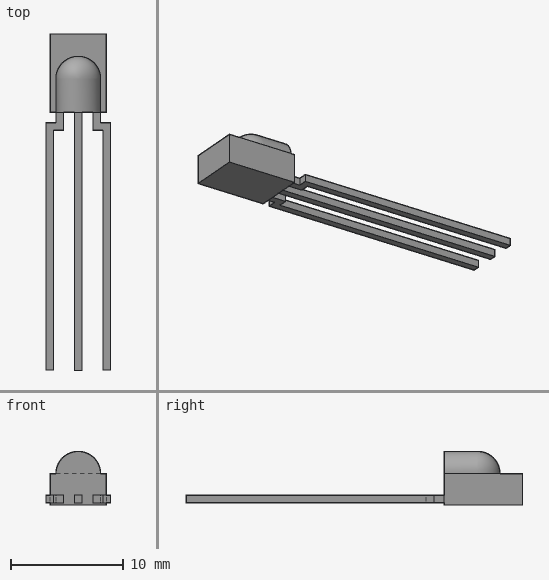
import cadquery as cq

body_width = 5.0
body_length = 7.0
body_height = 2.8

lens_radius = 2.0
lens_straight_length = 3.0

lead_width = 0.7
lead_thickness = 0.7
lead_bottom = 0.2
lead_pitch = 2.54
middle_lead_length = 23.0
outer_lead_length = 22.95
root_offset = 1.65
jog_start = 0.9


def make_body():
    return cq.Workplane("XY").box(
        body_width, body_length, body_height, centered=(True, False, False)
    )


def make_lens():
    """Full round-ended bar along Y, cut off below the top of the body."""
    barrel = (
        cq.Workplane("XZ", origin=(0, 0, body_height))
        .circle(lens_radius)
        .extrude(-lens_straight_length)
    )
    dome = cq.Workplane("XY", origin=(0, lens_straight_length, body_height)).sphere(lens_radius)
    upper_half = cq.Workplane("XY", origin=(0, 0, body_height)).box(
        2 * lens_radius, body_length, lens_radius, centered=(True, False, False)
    )
    return barrel.union(dome).intersect(upper_half)


def make_middle_lead():
    return cq.Workplane("XY", origin=(0, -middle_lead_length / 2, lead_bottom)).box(
        lead_width, middle_lead_length, lead_thickness, centered=(True, True, False)
    )


def make_outer_lead(side):
    """Lead that jogs outwards to the full pitch; side is +1 for +X, -1 for -X."""
    half_width = lead_width / 2
    root_inner = side * (root_offset - half_width)
    root_outer = side * (root_offset + half_width)
    tail_inner = side * (lead_pitch - half_width)
    tail_outer = side * (lead_pitch + half_width)
    jog_end = jog_start + lead_width
    outline = [
        (root_inner, 0),
        (root_outer, 0),
        (root_outer, -jog_start),
        (tail_outer, -jog_start),
        (tail_outer, -outer_lead_length),
        (tail_inner, -outer_lead_length),
        (tail_inner, -jog_end),
        (root_inner, -jog_end),
    ]
    return (
        cq.Workplane("XY", origin=(0, 0, lead_bottom))
        .polyline(outline)
        .close()
        .extrude(lead_thickness)
    )


result = make_body().union(make_lens()).union(make_middle_lead())
for side in (-1, 1):
    result = result.union(make_outer_lead(side))